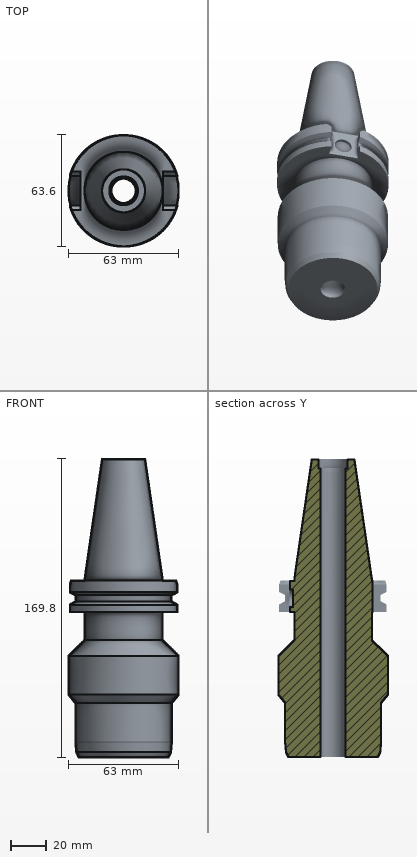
import cadquery as cq

total_height = 169.8
nose_chamfer_top = 3.0
nose_taper_top = 8.7
nose_top = 31.0
body_bottom = 35.8
body_top = 57.7
neck_bottom = 66.8
flange_bottom = 82.7
groove_lower_edge = 87.0
groove_floor_bottom = 88.8
groove_floor_top = 92.4
groove_upper_edge = 94.1
flange_top = 100.7
taper_bottom = 101.4

nose_end_radius = 25.5
nose_chamfer_radius = 27.0
nose_radius = 27.5
body_radius = 31.5
neck_radius = 22.3
flange_radius = 31.8
groove_radius = 28.5
taper_large_radius = 22.3
taper_ratio = 7 / 24
taper_small_radius = taper_large_radius - (total_height - taper_bottom) * taper_ratio / 2

bore_radius = 7.0
counterbore_radius = 8.2
counterbore_depth = 5.3

left_floor = 24.6
right_floor = 22.6
slot_width = 16.6
slot_mouth_width = 21.9
slot_chamfer_depth = 2.4
dimple_radius = 5.0
dimple_depth = 1.7
dimple_height = 90.7


def revolved_body():
    profile = [
        (0, 0),
        (nose_end_radius, 0),
        (nose_chamfer_radius, nose_chamfer_top),
        (nose_radius, nose_taper_top),
        (nose_radius, nose_top),
        (body_radius, body_bottom),
        (body_radius, body_top),
        (neck_radius, neck_bottom),
        (neck_radius, flange_bottom),
        (flange_radius, flange_bottom),
        (flange_radius, groove_lower_edge),
        (groove_radius, groove_floor_bottom),
        (groove_radius, groove_floor_top),
        (flange_radius, groove_upper_edge),
        (flange_radius, flange_top),
        (taper_large_radius, flange_top),
        (taper_large_radius, taper_bottom),
        (taper_small_radius, total_height),
        (0, total_height),
    ]
    return cq.Workplane("XZ").polyline(profile).close().revolve(360, (0, 0), (0, 1))


def drive_slot(side, floor):
    """Slot through the flange with a chamfered mouth; side is -1 or +1 along X."""
    half_width = slot_width / 2
    half_mouth = slot_mouth_width / 2
    chamfer_bottom = flange_top - slot_chamfer_depth
    outline = [
        (-half_width, flange_bottom),
        (half_width, flange_bottom),
        (half_width, chamfer_bottom),
        (half_mouth, flange_top),
        (-half_mouth, flange_top),
        (-half_width, chamfer_bottom),
    ]
    return (
        cq.Workplane("YZ", origin=(side * floor, 0, 0))
        .polyline(outline)
        .close()
        .extrude(side * flange_radius)
    )


def slot_dimple():
    """Shallow round recess in the floor of the -X slot."""
    return (
        cq.Workplane("YZ", origin=(-left_floor, 0, dimple_height))
        .circle(dimple_radius)
        .extrude(dimple_depth)
    )


def stepped_bore():
    through_hole = cq.Workplane("XY").circle(bore_radius).extrude(total_height)
    counterbore = (
        cq.Workplane("XY", origin=(0, 0, total_height - counterbore_depth))
        .circle(counterbore_radius)
        .extrude(counterbore_depth)
    )
    return through_hole.union(counterbore)


result = (
    revolved_body()
    .cut(drive_slot(-1, left_floor))
    .cut(drive_slot(1, right_floor))
    .cut(slot_dimple())
    .cut(stepped_bore())
)